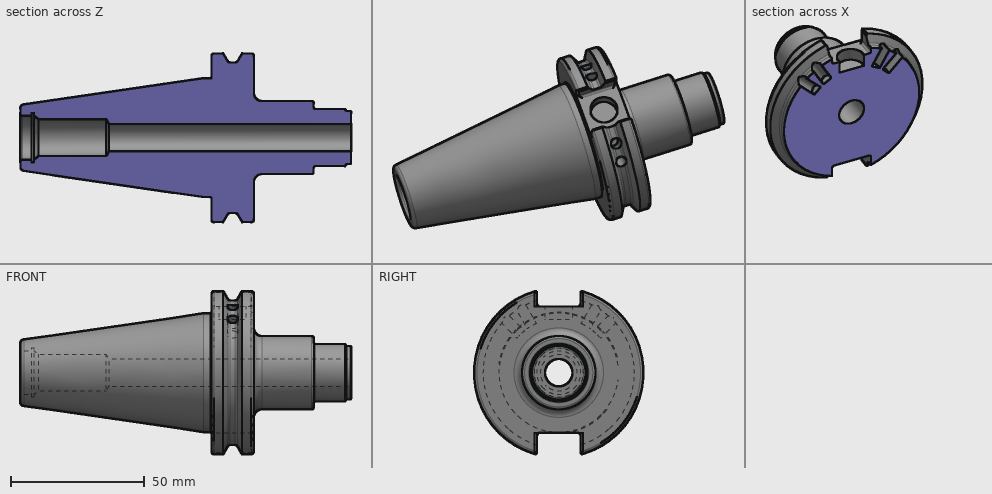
import cadquery as cq
import math

total_length = 123.8
gauge_x = 68.4
flange_start = 71.4
flange_width = 16.0
flange_end = flange_start + flange_width
flange_mid = flange_start + flange_width / 2
shoulder_x = 109.8
spigot_end = 121.3
end_land_start = 121.9

gauge_radius = 22.3
taper_slope = 7 / 48
small_end_radius = gauge_radius - gauge_x * taper_slope
flange_radius = 31.7
shank_radius = 13.7
spigot_radius = 10.8
end_land_radius = 10.0

small_end_fillet = 1.6
neck_fillet = 0.4
flange_fillet = 1.1
shank_root_fillet = 3.0
shoulder_fillet = 1.0
spigot_root_fillet = 0.5
end_fillet = 0.7

groove_width = 7.0
groove_depth = 3.5
groove_flank_angle = 60.0
groove_root_fillet = 1.0

slot_width = 16.1
upper_floor_z = 24.8
lower_floor_z = 22.5
slot_end_chamfer = 1.0
slot_floor_fillet = 0.9
slot_rim_chamfer = 0.7

floor_hole_radius = 5.1
floor_hole_depth = 5.0

radial_hole_radius = 2.0
radial_hole_depth = 8.0
radial_hole_angles = (-45, -30, 30, 45)

through_radius = 5.1
pilot_radius = 8.2
pilot_depth = 4.3
pilot_mouth_fillet = 1.0
relief_radius = 9.2
relief_width = 0.9
thread_radius = 6.8
thread_start = 6.9
thread_end = 32.2
thread_end_angle = 60.0

overshoot = 1.2


def revolve_x(points):
    """Solid of revolution about the X axis from (x, radius) points."""
    return cq.Workplane("XY").polyline(points).close().revolve(360, (0, 0, 0), (1, 0, 0))


def circle_edges(body, x, radius):
    """Circular edges of the body at one axial station and radius."""
    tolerance = 0.0001

    def matches(edge):
        if edge.geomType() != "CIRCLE":
            return False
        return abs(edge.Center().x - x) < tolerance and abs(edge.radius() - radius) < tolerance

    return body.newObject([edge for edge in body.edges().vals() if matches(edge)])


def turned_body():
    body = revolve_x([
        (0, 0),
        (0, small_end_radius),
        (gauge_x, gauge_radius),
        (flange_start, gauge_radius),
        (flange_start, flange_radius),
        (flange_end, flange_radius),
        (flange_end, shank_radius),
        (shoulder_x, shank_radius),
        (shoulder_x, spigot_radius),
        (spigot_end, spigot_radius),
        (end_land_start, end_land_radius),
        (total_length, end_land_radius),
        (total_length, 0),
    ])
    fillets = [
        (0, small_end_radius, small_end_fillet),
        (flange_start, gauge_radius, neck_fillet),
        (flange_start, flange_radius, flange_fillet),
        (flange_end, flange_radius, flange_fillet),
        (flange_end, shank_radius, shank_root_fillet),
        (shoulder_x, shank_radius, shoulder_fillet),
        (shoulder_x, spigot_radius, spigot_root_fillet),
        (total_length, end_land_radius, end_fillet),
    ]
    for x, radius, size in fillets:
        body = circle_edges(body, x, radius).fillet(size)
    return body


def drive_slot(floor_z):
    """Cutter for a slot open towards +Z, with chamfered ends and a chamfered rim."""
    half = slot_width / 2
    length = flange_width + 2 * overshoot
    height = flange_radius + overshoot - floor_z
    cutter = (
        cq.Workplane("XY", origin=(flange_mid, 0, floor_z))
        .rect(length, slot_width)
        .extrude(height)
        .faces("<Z")
        .edges("|X")
        .fillet(slot_floor_fillet)
    )
    base = slot_end_chamfer + slot_floor_fillet
    for x, inward in ((flange_start, 1), (flange_end, -1)):
        flare = (
            cq.Workplane("XY", origin=(x, 0, floor_z))
            .polyline([
                (-inward * overshoot, half + slot_end_chamfer + overshoot),
                (inward * base, half - slot_floor_fillet),
                (inward * base, slot_floor_fillet - half),
                (-inward * overshoot, -half - slot_end_chamfer - overshoot),
            ])
            .close()
            .extrude(height)
        )
        cutter = cutter.union(flare)
    rim_z = math.sqrt(flange_radius**2 - half**2) - slot_rim_chamfer
    rise = flange_radius + overshoot - rim_z
    rim = (
        cq.Workplane("YZ", origin=(flange_start - overshoot, 0, 0))
        .polyline([
            (-half, rim_z),
            (half, rim_z),
            (half + rise, rim_z + rise),
            (-half - rise, rim_z + rise),
        ])
        .close()
        .extrude(length)
    )
    return cutter.union(rim)


def gripper_groove():
    slope = math.tan(math.radians(groove_flank_angle))
    half_top = groove_width / 2
    half_root = half_top - groove_depth / slope
    half_mouth = half_top + overshoot / slope
    root_radius = flange_radius - groove_depth
    mouth_radius = flange_radius + overshoot
    groove = revolve_x([
        (flange_mid - half_mouth, mouth_radius),
        (flange_mid - half_root, root_radius),
        (flange_mid + half_root, root_radius),
        (flange_mid + half_mouth, mouth_radius),
    ])
    for side in (-1, 1):
        root_edge = circle_edges(groove, flange_mid + side * half_root, root_radius)
        groove = root_edge.fillet(groove_root_fillet)
    return groove


def radial_hole(angle):
    floor_radius = flange_radius - groove_depth - radial_hole_depth
    return (
        cq.Workplane("XY", origin=(flange_mid, 0, floor_radius))
        .circle(radial_hole_radius)
        .extrude(flange_radius - floor_radius)
        .rotate((0, 0, 0), (1, 0, 0), angle)
    )


def stepped_bore():
    drill_point = (thread_radius - through_radius) / math.tan(math.radians(thread_end_angle))
    return revolve_x([
        (0, 0),
        (0, pilot_radius),
        (pilot_depth, pilot_radius),
        (pilot_depth, relief_radius),
        (pilot_depth + relief_width, relief_radius),
        (pilot_depth + relief_width, pilot_radius),
        (thread_start, thread_radius),
        (thread_end, thread_radius),
        (thread_end + drill_point, through_radius),
        (total_length, through_radius),
        (total_length, 0),
    ])


def floor_hole():
    return (
        cq.Workplane("XY", origin=(flange_mid, 0, upper_floor_z - floor_hole_depth))
        .circle(floor_hole_radius)
        .extrude(floor_hole_depth + overshoot)
    )


result = turned_body()
result = result.cut(drive_slot(upper_floor_z))
result = result.cut(drive_slot(lower_floor_z).rotate((0, 0, 0), (1, 0, 0), 180))
result = result.cut(gripper_groove())
result = result.cut(floor_hole())
for angle in radial_hole_angles:
    result = result.cut(radial_hole(angle))
result = result.cut(stepped_bore())
result = circle_edges(result, 0, pilot_radius).fillet(pilot_mouth_fillet)